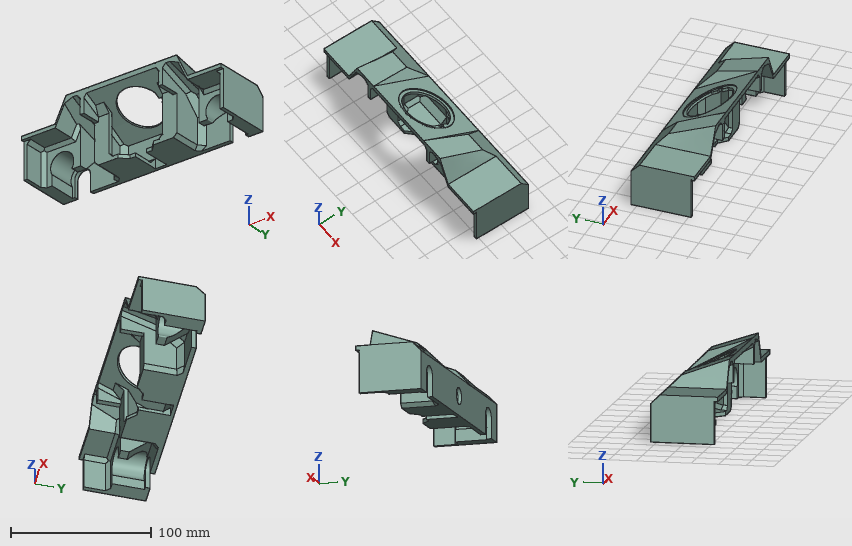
import cadquery as cq
import math

length = 180.0
depth = 49.0
height = 54.5
half_length = length / 2

wing_height = 34.5
back_wall_height = 27.9
wing_back_y = depth - (wing_height - back_wall_height)
ridge_y = 34.5
ridge_z = wing_height + wing_back_y - ridge_y
crown_top_half = 49.9
crown_ridge_half = 54.2
crown_foot_half = 59.8
valley_half = 30.0
valley_ridge_half = 37.0
valley_slope = (height - back_wall_height) / depth
crown_slope = (height - ridge_z) / ridge_y

shell = 2.7
end_wall = 3.0
centre_back_y = depth - shell
bay_back_y = 45.4
lip_depth = 2.7
wing_ceiling = 31.3
wing_corner = 3.0
wing_ceiling_chamfer = 2.7
clear = 9.0

block_front_y = 21.6
block_inner_x = 53.3
slot_x = 70.0
slot_z = 14.0
slot_radius = 7.0
keyhole_radius = 10.5
keyhole_outer_x = 79.2
block_foot_z = 7.7
block_tip_radius = 0.7
block_foot_back_y = 27.9

box_half = 37.0
bay_corner = 4.7
bay_slope_foot_x = 59.5
bay_slope_top_x = 51.0
bay_slope_top_z = 48.8
bay_side_slope = (wing_ceiling - bay_slope_top_z) / (bay_slope_foot_x - bay_slope_top_x)
bay_shoulder_x = 43.7
bay_shoulder_drift = 0.08
bay_shoulder_slope = 0.4
bay_roof_drop = 3.2
web_corner_z = 48.2
corner_ceiling_z = 27.5
corner_ceiling_slope = 1.5
bay_slope_strip = 6.3

pocket_half = 33.7
throat_half = 24.0
pillar_front_y = 17.0
pocket_step_y = 20.0
web_bottom_z = 34.7
pocket_corner = 4.3
floor_thickness = 3.0
box_chamfer = 3.0
back_ramp = 5.0
centre_front_drop = 4.1
centre_crease_z = 34.7
web_chamfer_width = 2.3
web_chamfer_height = 3.0
gusset_z = 38.7
floor_front_y = 23.0
floor_front_half = 10.0
floor_notch_half = floor_front_half + floor_front_y - pillar_front_y
floor_slot_half = 5.0
pin_hole_diameter = 12.0
pin_hole_z = 14.2

opening_y = 24.8
rim_diameter = 43.0
rim_depth = 0.9
bore_diameter = 37.5
key_flat_x = 17.3
key_notch_x = 19.3
key_notch_width = 3.6


def polyhedron(points, loops, ruled_pairs=()):
    """Solid from planar vertex loops plus ruled faces between pairs of edges."""
    corners = [cq.Vector(*p) for p in points]
    faces = []
    for loop in loops:
        wire = cq.Wire.makePolygon([corners[i] for i in loop], close=True)
        faces.append(cq.Face.makeFromWires(wire))
    for first, second in ruled_pairs:
        edges = [cq.Edge.makeLine(corners[a], corners[b]) for a, b in (first, second)]
        faces.append(cq.Face.makeRuledSurface(*edges))
    solid = cq.Solid.makeSolid(cq.Shell.makeShell(faces))
    return cq.Workplane(solid.fix())


def box(x0, x1, y0, y1, z0, z1):
    return cq.Workplane().box(x1 - x0, y1 - y0, z1 - z0, centered=False).translate((x0, y0, z0))


def plan_prism(points, z0, z1):
    """Upright prism from (x, y) points."""
    return cq.Workplane(origin=(0, 0, z0)).polyline(points).close().extrude(z1 - z0)


def front_prism(points, y0, y1):
    """Prism along y from (x, z) points."""
    return cq.Workplane("XZ", origin=(0, y0, 0)).polyline(points).close().extrude(y0 - y1)


def side_prism(points, half_width):
    """Prism along x, symmetric about x = 0, from (y, z) points."""
    return cq.Workplane("YZ").polyline(points).close().extrude(half_width, both=True)


def under_plane(x, y, z, slope_x, slope_y):
    """Everything on the +X half below the plane through (x, y, z) with these slopes."""
    reach_x = half_length + clear
    reach_y = depth + clear
    deep = -3 * length
    plan = [(0, -clear), (reach_x, -clear), (reach_x, reach_y), (0, reach_y)]
    top = [(px, py, z + slope_x * (px - x) + slope_y * (py - y)) for px, py in plan]
    bottom = [(px, py, deep) for px, py in plan]
    sides = [(i, (i + 1) % 4, (i + 1) % 4 + 4, i + 4) for i in range(4)]
    return polyhedron(bottom + top, [(0, 1, 2, 3), (4, 5, 6, 7)] + sides)


def outer_body():
    wings = side_prism(
        [(0, 0), (depth, 0), (depth, back_wall_height), (wing_back_y, wing_height), (0, wing_height)],
        half_length,
    )
    points = []
    for side in (-1, 1):
        points += [
            (side * crown_foot_half, 0, wing_height),
            (side * crown_top_half, 0, height),
            (side * crown_ridge_half, ridge_y, ridge_z),
            (side * crown_foot_half, wing_back_y, wing_height),
        ]
    loops = [(0, 1, 5, 4), (1, 2, 6, 5), (2, 3, 7, 6), (0, 3, 7, 4)]
    crown = polyhedron(points, loops, [((0, 1), (3, 2)), ((4, 5), (7, 6))])
    return wings.union(crown)


def valley():
    """Wedge above the sloping centre panel."""
    points = []
    for side in (-1, 1):
        points += [
            (side * valley_half, 0, height),
            (side * valley_ridge_half, ridge_y, ridge_z),
            (side * valley_half, depth, back_wall_height),
        ]
    loops = [(0, 1, 2), (3, 4, 5), (0, 3, 5, 2), (0, 1, 4, 3), (1, 2, 5, 4)]
    return polyhedron(points, loops)


def under_crown(tool):
    """Trim a cutter to the underside of the crown."""
    ceiling = height - bay_roof_drop
    tool = tool.intersect(under_plane(0, 0, ceiling, 0, -crown_slope))
    shoulder_depth_slope = bay_shoulder_slope * bay_shoulder_drift - crown_slope
    tool = tool.intersect(
        under_plane(bay_shoulder_x, 0, ceiling, -bay_shoulder_slope, shoulder_depth_slope)
    )
    tool = tool.intersect(under_plane(0, depth, back_wall_height - shell * math.sqrt(2), 0, -1))
    tool = tool.intersect(under_plane(box_half, 0, web_corner_z, 1, -crown_slope))
    tool = tool.intersect(under_plane(bay_slope_foot_x, 0, wing_ceiling, bay_side_slope, 0))
    corner_x = box_half + bay_corner
    return tool.intersect(
        under_plane(corner_x, bay_back_y, corner_ceiling_z, corner_ceiling_slope, -1)
    )


def wing_cavity():
    """Open space in front of the wing block, with chamfers at its end wall, ceiling and rear."""
    wall_x = half_length - end_wall
    profile = [
        (box_half, -clear),
        (wall_x, -clear),
        (wall_x, wing_ceiling - wing_corner),
        (wall_x - wing_corner, wing_ceiling),
        (box_half, wing_ceiling),
    ]
    plan = [
        (box_half, -clear),
        (wall_x, -clear),
        (wall_x, block_front_y - wing_corner),
        (wall_x - wing_corner, block_front_y),
        (box_half, block_front_y),
    ]
    cavity = front_prism(profile, -clear, depth).intersect(plan_prism(plan, -clear, height))
    rear_z = wing_ceiling - wing_ceiling_chamfer
    return cavity.intersect(under_plane(0, block_front_y, rear_z, 0, -1))


def crown_cavity():
    """Space under the crown in front of the wing block, chamfered where its side slope ends."""
    cavity = box(box_half, bay_slope_foot_x, -clear, block_front_y, -clear, height)
    rear_z = wing_ceiling - bay_slope_strip
    strip_slope = -bay_slope_strip / wing_ceiling_chamfer
    rear = under_plane(bay_slope_foot_x, block_front_y, rear_z, bay_side_slope, strip_slope)
    return under_crown(cavity.intersect(rear))


def bay_cavity():
    """Space between the wing block and the centre box, back to the rear wall."""
    plan = [
        (box_half, -clear),
        (box_half, bay_back_y - bay_corner),
        (box_half + bay_corner, bay_back_y),
        (block_inner_x, bay_back_y),
        (block_inner_x, -clear),
    ]
    return under_crown(plan_prism(plan, -clear, height))


def box_bottom_chamfer():
    """45 degree undercut along the outer bottom edge of the centre box."""
    def outline(inset):
        corner_y = bay_back_y - bay_corner + inset * math.tan(math.pi / 8)
        side_x = box_half - inset
        return [
            (side_x, 0),
            (side_x, corner_y),
            (side_x + bay_back_y - corner_y, bay_back_y),
            (block_inner_x, bay_back_y),
            (block_inner_x, 0),
        ]

    return (
        cq.Workplane()
        .polyline(outline(box_chamfer)).close()
        .workplane(offset=box_chamfer)
        .polyline(outline(0)).close()
        .loft(ruled=True)
    )


def block_undercut():
    """45 degree rise under the inner part of the wing block, from its foot to the rear wall."""
    rise = bay_back_y - block_foot_back_y
    profile = [
        (block_foot_back_y, 0),
        (block_foot_back_y, block_foot_z),
        (bay_back_y, block_foot_z + rise),
        (bay_back_y, 0),
    ]
    under_block = box(block_inner_x, slot_x, 0, depth, 0, height)
    return side_prism(profile, half_length).intersect(under_block)


def keyhole():
    """Round recess through the wing block, open at the bottom, with a slot in the rear wall."""
    def bore(radius, y0, y1):
        return cq.Workplane("XZ", origin=(slot_x, y0, slot_z)).circle(radius).extrude(y0 - y1)

    recess = bore(keyhole_radius, 0, bay_back_y)
    recess = recess.union(box(slot_x, keyhole_outer_x, 0, bay_back_y, -clear, slot_z))
    recess = recess.union(box(block_inner_x, slot_x, 0, bay_back_y, -clear, block_foot_z))
    tip = cq.selectors.BoxSelector(
        (slot_x - keyhole_radius, 0, block_foot_z - block_tip_radius),
        (slot_x - slot_radius, depth, block_foot_z + block_tip_radius),
    )
    recess = recess.edges(tip).fillet(block_tip_radius)
    slot = bore(slot_radius, 0, depth + clear)
    slot = slot.union(box(slot_x - slot_radius, slot_x + slot_radius, 0, depth + clear, -clear, slot_z))
    return recess.union(slot)


def centre_pocket():
    """+X half of the inside of the centre box, narrowed by the front pillar."""
    widen = pocket_half - throat_half
    plan = [
        (0, 0),
        (throat_half, 0),
        (throat_half, pocket_step_y),
        (pocket_half, pocket_step_y + widen),
        (pocket_half, centre_back_y),
        (0, centre_back_y),
    ]
    pocket = plan_prism(plan, floor_thickness, height)
    pocket = pocket.faces("<Z").edges("not(<X or <Y)").chamfer(box_chamfer)
    ramp = side_prism(
        [(centre_back_y, floor_thickness), (centre_back_y, floor_thickness + back_ramp),
         (centre_back_y - back_ramp, floor_thickness)],
        pocket_half,
    )
    corner = plan_prism(
        [(pocket_half, centre_back_y), (pocket_half - pocket_corner, centre_back_y),
         (pocket_half, centre_back_y - pocket_corner)],
        0,
        height,
    )
    return pocket.cut(ramp).cut(corner)


def centre_front():
    """+X half of the space between the webs, with a gusset over the pillar."""
    space = box(0, pocket_half, -clear, pillar_front_y, -clear, height)
    return space.intersect(under_plane(0, pillar_front_y, gusset_z, 0, -1))


def centre_space():
    """+X half of the centre box interior under its bent ceiling and chamfered web."""
    front_z = height - centre_front_drop
    rear_z = height - shell * math.sqrt(1 + valley_slope**2)
    crease_y = (rear_z - centre_crease_z) / valley_slope
    front_slope = (centre_crease_z - front_z) / crease_y
    space = centre_pocket().union(centre_front())
    space = space.intersect(under_plane(0, 0, front_z, 0, front_slope))
    space = space.intersect(under_plane(0, 0, rear_z, 0, -valley_slope))
    web_z = front_z - web_chamfer_height
    web_slope = -web_chamfer_height / web_chamfer_width
    return space.intersect(under_plane(pocket_half, 0, web_z, web_slope, front_slope))


def floor_opening():
    """+X half of the notched front edge of the floor and the slot running back from it."""
    plan = [
        (0, 0),
        (floor_notch_half, 0),
        (floor_notch_half, pillar_front_y),
        (floor_front_half, floor_front_y),
        (0, floor_front_y),
    ]
    notch = plan_prism(plan, -clear, 2 * floor_thickness)
    slot_top = floor_thickness + back_ramp
    return notch.union(box(0, floor_slot_half, 0, centre_back_y, -clear, slot_top))


def pin_hole():
    origin = (0, depth / 2, pin_hole_z)
    return cq.Workplane("XZ", origin=origin).circle(pin_hole_diameter / 2).extrude(-depth)


def round_opening():
    """Keyed bore with a shallow rim, square to the centre panel."""
    panel = cq.Plane(
        origin=(0, opening_y, height - valley_slope * opening_y),
        xDir=(1, 0, 0),
        normal=(0, valley_slope, 1),
    )
    reach = 2 * centre_front_drop
    rim = cq.Workplane(panel).circle(rim_diameter / 2).extrude(-rim_depth)
    bore = cq.Workplane(panel).circle(bore_diameter / 2).extrude(reach, both=True)
    key = cq.Workplane(panel).center(key_flat_x + clear, 0).rect(2 * clear, bore_diameter)
    bore = bore.cut(key.extrude(reach, both=True))
    notch = cq.Workplane(panel).center(key_notch_x / 2, 0).rect(key_notch_x, key_notch_width)
    return rim.union(bore).union(notch.extrude(reach, both=True))


body = outer_body().cut(valley())

body = body.cut(box(-half_length, half_length, -clear, lip_depth, -clear, wing_ceiling))
body = body.cut(box(-box_half, box_half, -clear, pillar_front_y, -clear, web_bottom_z))

side_tools = (
    wing_cavity(),
    crown_cavity(),
    bay_cavity(),
    box_bottom_chamfer(),
    block_undercut(),
    keyhole(),
    centre_space(),
    floor_opening(),
)
for tool in side_tools:
    body = body.cut(tool).cut(tool.mirror("YZ"))

body = body.cut(pin_hole())
body = body.cut(round_opening())

result = body